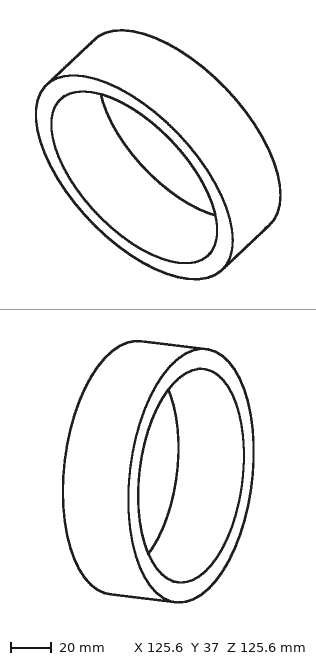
import cadquery as cq

outer_diameter = 125.6
inner_diameter = 105.8
width = 37.0

result = (
    cq.Workplane("XZ")
    .circle(outer_diameter / 2)
    .circle(inner_diameter / 2)
    .extrude(width)
)